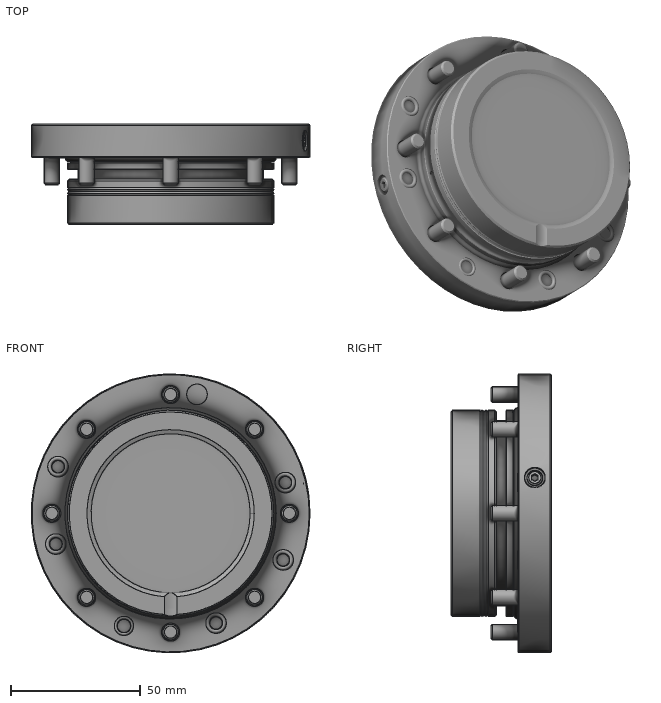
import cadquery as cq
import math


flange_radius = 54.0
flange_thickness = 13.0
flange_back_chamfer = 0.5
flange_front_chamfer = 0.3

spigot_radius = 40.0
spigot_length = 26.0
spigot_chamfer = 0.7

root_ring_radius = 40.9
root_ring_section = 3.2
neck_radius = 38.9
neck_length = 2.0

clamp_groove_radius = 36.0
clamp_groove_start = 4.6
clamp_groove_end = 8.4
clamp_groove_back_chamfer = 0.2
clamp_groove_front_chamfer = 0.6

seal_start = 11.6
seal_width = 3.2
seal_lip_offset = 0.9
seal_edge_recess = 0.5
seal_valley_recess = 0.4

pocket_radius = 32.4
pocket_rim_width = 1.6
pocket_depth = 0.5
notch_width = 4.9

screw_count = 8
screw_circle_radius = 46.0
screw_diameter = 6.0
screw_tip_diameter = 4.8
screw_projection = 10.6
screw_hole_diameter = 7.0
screw_hole_depth = 5.4

inner_circle_radius = 46.0
outer_circle_radius = 47.2
large_ports = [
    (inner_circle_radius, 15.0),
    (outer_circle_radius, 157.5),
    (inner_circle_radius, 195.0),
    (inner_circle_radius, 292.5),
    (outer_circle_radius, 337.5),
]
small_port = (outer_circle_radius, 247.5)
port_depth = 1.1
port_ring_centre_depth = 0.59
large_port_diameter = 8.0
large_port_ring_bore = 4.8
small_port_diameter = 7.5
small_port_ring_bore = 5.1

disc_angle = 77.5
disc_diameter = 8.0
disc_recess = 0.1

rim_port_angles = (15.0, 195.0)
rim_counterbore_diameter = 8.0
rim_counterbore_depth = 1.3
rim_screw_diameter = 6.0
rim_screw_tip_diameter = 4.8
rim_screw_recess = 0.3
rim_hex_size = 3.0
rim_hex_depth = 2.2

vent_circle_radius = 38.1
vent_angle = 195.0
vent_outer_diameter = 1.7
vent_outer_depth = 0.4
vent_inner_diameter = 1.0
vent_inner_depth = 2.2


def revolve_about_y(outline):
    """Solid of revolution about Y from (radius, y) points."""
    return cq.Workplane("XY").polyline(outline).close().revolve(360, (0, 0, 0), (0, 1, 0))


def cylinder(diameter, y_start, y_end):
    """Cylinder on the Y axis between two Y positions."""
    radius = diameter / 2
    return revolve_about_y([(0, y_start), (radius, y_start), (radius, y_end), (0, y_end)])


def ring(outer_radius, section, y):
    """Torus about Y with a round section, centred at a Y position."""
    section_centre = outer_radius - section / 2
    profile = cq.Workplane("XY").moveTo(section_centre, y).circle(section / 2)
    return profile.revolve(360, (0, 0, 0), (0, 1, 0))


def on_circle(body, radius, angle):
    """Move a body from the Y axis to a place on a circle about that axis."""
    turn = math.radians(angle)
    return body.translate((radius * math.cos(turn), 0, radius * math.sin(turn)))


def turned_body():
    """Flange and spigot with all their turned grooves."""
    seal_edge_radius = spigot_radius - seal_edge_recess
    seal_end = seal_start + seal_width
    end_face = -spigot_length
    return revolve_about_y([
        (0, flange_thickness),
        (flange_radius - flange_back_chamfer, flange_thickness),
        (flange_radius, flange_thickness - flange_back_chamfer),
        (flange_radius, flange_front_chamfer),
        (flange_radius - flange_front_chamfer, 0),
        (neck_radius, 0),
        (neck_radius, -neck_length),
        (spigot_radius, -neck_length),
        (spigot_radius, -clamp_groove_start + clamp_groove_back_chamfer),
        (spigot_radius - clamp_groove_back_chamfer, -clamp_groove_start),
        (clamp_groove_radius, -clamp_groove_start),
        (clamp_groove_radius, -clamp_groove_end),
        (spigot_radius - clamp_groove_front_chamfer, -clamp_groove_end),
        (spigot_radius, -clamp_groove_end - clamp_groove_front_chamfer),
        (spigot_radius, -seal_start),
        (seal_edge_radius, -seal_start),
        (spigot_radius, -seal_start - seal_lip_offset),
        (spigot_radius - seal_valley_recess, -seal_start - seal_width / 2),
        (spigot_radius, -seal_end + seal_lip_offset),
        (seal_edge_radius, -seal_end),
        (spigot_radius, -seal_end),
        (spigot_radius, end_face + spigot_chamfer),
        (spigot_radius - spigot_chamfer, end_face),
        (pocket_radius, end_face),
        (pocket_radius - pocket_rim_width, end_face + pocket_depth),
        (0, end_face + pocket_depth),
    ])


def notch():
    """Shallow round-bottomed channel from the pocket down to the edge of the spigot."""
    half_width = notch_width / 2
    section = (
        cq.Workplane("XY")
        .moveTo(-half_width, -spigot_length)
        .threePointArc((0, -spigot_length + pocket_depth), (half_width, -spigot_length))
        .close()
    )
    return section.extrude(-spigot_radius)


def screw():
    """Screw shank with a chamfered tip."""
    shank = cylinder(screw_diameter, screw_hole_depth, -screw_projection)
    return shank.faces("<Y").chamfer((screw_diameter - screw_tip_diameter) / 2)


def add_port(body, diameter, ring_bore, circle_radius, angle):
    """Sink a round seat into the mounting face and lay an O-ring in it."""
    ring_section = (diameter - ring_bore) / 2
    seat = cylinder(diameter, 0, port_depth)
    seal = ring(diameter / 2, ring_section, port_ring_centre_depth)
    body = body.cut(on_circle(seat, circle_radius, angle))
    return body.union(on_circle(seal, circle_radius, angle))


def add_rim_screw(body, angle):
    """Sink a counterbore into the flange rim and stand a socket set screw in it."""
    turn = math.radians(angle)
    outward = (math.cos(turn), 0, math.sin(turn))
    along_rim = (-math.sin(turn), 0, math.cos(turn))
    rim_point = (flange_radius * outward[0], flange_thickness / 2, flange_radius * outward[2])
    rim = cq.Workplane(cq.Plane(origin=rim_point, xDir=along_rim, normal=outward))

    counterbore = rim.circle(rim_counterbore_diameter / 2).extrude(-rim_counterbore_depth)
    set_screw = (
        rim.workplane(offset=-rim_counterbore_depth)
        .circle(rim_screw_diameter / 2)
        .extrude(rim_counterbore_depth - rim_screw_recess)
        .faces(cq.selectors.DirectionMinMaxSelector(cq.Vector(*outward)))
        .chamfer((rim_screw_diameter - rim_screw_tip_diameter) / 2)
    )
    socket = rim.polygon(6, rim_hex_size).extrude(-rim_hex_depth)
    return body.cut(counterbore).union(set_screw).cut(socket)


def vent():
    """Stepped hole running from the groove wall towards the flange."""
    wall = -clamp_groove_start
    outer_step = cylinder(vent_outer_diameter, wall, wall + vent_outer_depth)
    return outer_step.union(cylinder(vent_inner_diameter, wall, wall + vent_inner_depth))


result = turned_body().cut(notch())
result = result.union(ring(root_ring_radius, root_ring_section, 0))

for index in range(screw_count):
    screw_angle = index * 360 / screw_count
    clearance_hole = cylinder(screw_hole_diameter, 0, screw_hole_depth)
    result = result.cut(on_circle(clearance_hole, screw_circle_radius, screw_angle))
    result = result.union(on_circle(screw(), screw_circle_radius, screw_angle))

for port in large_ports:
    result = add_port(result, large_port_diameter, large_port_ring_bore, *port)
result = add_port(result, small_port_diameter, small_port_ring_bore, *small_port)

disc = cylinder(disc_diameter, 0, disc_recess)
result = result.cut(on_circle(disc, outer_circle_radius, disc_angle))

for rim_port_angle in rim_port_angles:
    result = add_rim_screw(result, rim_port_angle)

result = result.cut(on_circle(vent(), vent_circle_radius, vent_angle))